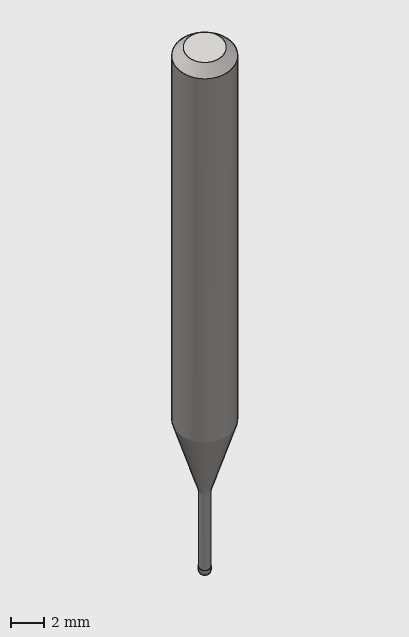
import cadquery as cq
import math


total_length = 45.0

ball_radius = 0.4
tip_length = 0.64

neck_radius = 0.38
cone_half_angle = math.radians(15)
blend_radius = 1.0
shank_radius = 2.0
shank_bottom = 13.2
shank_chamfer = 0.7

blend_height = blend_radius * math.sin(cone_half_angle)
cone_small_radius = neck_radius + blend_radius * (1 - math.cos(cone_half_angle))
cone_height = (shank_radius - cone_small_radius) / math.tan(cone_half_angle)
cone_bottom = shank_bottom - cone_height
neck_top = cone_bottom - blend_height

half_blend_angle = cone_half_angle / 2
blend_middle = (
    neck_radius + blend_radius * (1 - math.cos(half_blend_angle)),
    neck_top + blend_radius * math.sin(half_blend_angle),
)


def revolve_about_z(profile):
    """Turn a closed radius-height profile into a solid around the Z axis."""
    return profile.revolve(360, (0, 0, 0), (0, 1, 0))


def make_cutting_tip():
    """Short cylinder with a hemispherical end."""
    ball_middle = (
        ball_radius * math.sin(math.pi / 4),
        ball_radius * (1 - math.cos(math.pi / 4)),
    )
    profile = (
        cq.Workplane("XZ")
        .moveTo(0, 0)
        .threePointArc(ball_middle, (ball_radius, ball_radius))
        .lineTo(ball_radius, tip_length)
        .lineTo(0, tip_length)
        .close()
    )
    return revolve_about_z(profile)


def make_shank():
    """Slim neck, blended shoulder cone and cylindrical shank with a chamfered end."""
    profile = (
        cq.Workplane("XZ")
        .moveTo(0, tip_length)
        .lineTo(neck_radius, tip_length)
        .lineTo(neck_radius, neck_top)
        .threePointArc(blend_middle, (cone_small_radius, cone_bottom))
        .lineTo(shank_radius, shank_bottom)
        .lineTo(shank_radius, total_length - shank_chamfer)
        .lineTo(shank_radius - shank_chamfer, total_length)
        .lineTo(0, total_length)
        .close()
    )
    return revolve_about_z(profile)


cutting_tip = make_cutting_tip()
shank = make_shank()

result = cq.Compound.makeCompound([cutting_tip.val(), shank.val()])